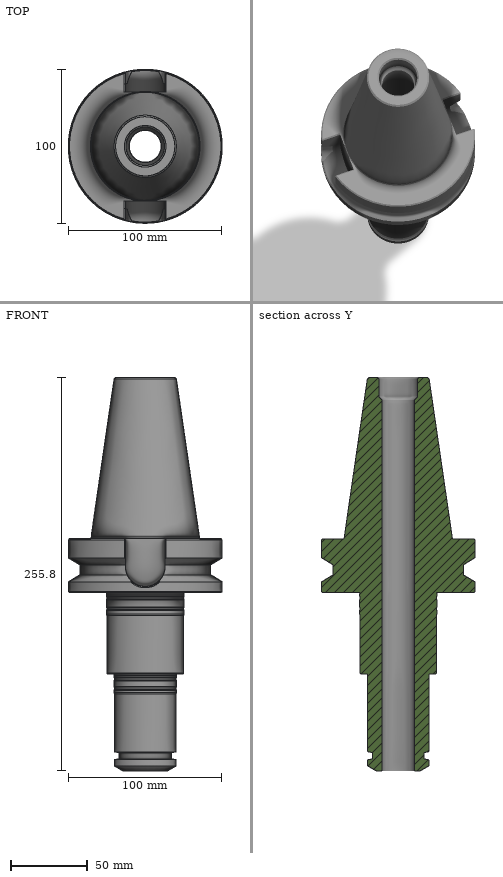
import cadquery as cq
import math

GAUGE_DIAMETER = 69.85
TAPER_RATIO = 7 / 24
TAPER_TOP_Z = 101.8
TAPER_BASE_Z = -1.2
TAPER_FLARE_Z = -2.0
TAPER_FLARE_DIAMETER = 71.2
TAPER_TOP_CHAMFER = 1.0

FLANGE_DIAMETER = 100.0
FLANGE_TOP_Z = -3.0
FLANGE_BOTTOM_Z = -38.0
FLANGE_EDGE_CHAMFER = 0.8
GROOVE_CENTRE_Z = -23.2
GROOVE_FLOOR_DIAMETER = 85.0
GROOVE_MOUTH_WIDTH = 15.6
GROOVE_SIDE_ANGLE = 31.5

SLOT_WIDTH = 25.7
SLOT_FLAT_Y = 35.4
SLOT_BOTTOM_Z = -34.0
SLOT_EDGE_CHAMFER = 0.8

LARGE_DIAMETER = 50.0
LARGE_BAND_DIAMETER = 50.5
LARGE_BAND_END_Z = -52.7
LARGE_BAND_GROOVES_Z = (-41.5, -48.5)
LARGE_END_Z = -91.0
LARGE_END_CHAMFER = 0.8
SMALL_DIAMETER = 40.0
SMALL_BAND_DIAMETER = 40.5
SMALL_BAND_END_Z = -103.7
SMALL_BAND_GROOVES_Z = (-94.1, -100.3)
BAND_GROOVE_FLOOR_WIDTH = 1.0
BAND_RAMP_LENGTH = 0.75

NECK_DIAMETER = 34.0
NECK_TOP_Z = -142.0
NECK_BOTTOM_Z = -145.9
NECK_SIDE_HEIGHT = 0.6
BOTTOM_Z = -154.0
BOTTOM_DIAMETER = 28.2
BOTTOM_CONE_ANGLE = 30.0
BOTTOM_EDGE_RADIUS = 0.8

BORE_DIAMETER = 20.75
COUNTERBORE_DIAMETER = 25.0
COUNTERBORE_DEPTH = 12.7
MOUTH_DIAMETER = 27.0

SELECT_MARGIN = 0.1


def taper_diameter(z):
    return GAUGE_DIAMETER - TAPER_RATIO * z


def revolve(points):
    """Revolve an outline of (diameter, z) points about the Z axis."""
    outline = [(diameter / 2, z) for diameter, z in points]
    return cq.Workplane("XZ").polyline(outline).close().revolve(360, (0, 0), (0, 1))


def make_taper():
    base_diameter = taper_diameter(TAPER_BASE_Z)
    shoulder_z = TAPER_TOP_Z - TAPER_TOP_CHAMFER
    return revolve([
        (0, FLANGE_TOP_Z),
        (TAPER_FLARE_DIAMETER, FLANGE_TOP_Z),
        (base_diameter, TAPER_FLARE_Z),
        (base_diameter, TAPER_BASE_Z),
        (taper_diameter(shoulder_z), shoulder_z),
        (taper_diameter(shoulder_z) - 2 * TAPER_TOP_CHAMFER, TAPER_TOP_Z),
        (0, TAPER_TOP_Z),
    ])


def make_flange():
    rim_diameter = FLANGE_DIAMETER - 2 * FLANGE_EDGE_CHAMFER
    mouth = GROOVE_MOUTH_WIDTH / 2
    depth = (FLANGE_DIAMETER - GROOVE_FLOOR_DIAMETER) / 2
    floor = mouth - depth * math.tan(math.radians(GROOVE_SIDE_ANGLE))
    return revolve([
        (0, FLANGE_TOP_Z),
        (rim_diameter, FLANGE_TOP_Z),
        (FLANGE_DIAMETER, FLANGE_TOP_Z - FLANGE_EDGE_CHAMFER),
        (FLANGE_DIAMETER, GROOVE_CENTRE_Z + mouth),
        (GROOVE_FLOOR_DIAMETER, GROOVE_CENTRE_Z + floor),
        (GROOVE_FLOOR_DIAMETER, GROOVE_CENTRE_Z - floor),
        (FLANGE_DIAMETER, GROOVE_CENTRE_Z - mouth),
        (FLANGE_DIAMETER, FLANGE_BOTTOM_Z + FLANGE_EDGE_CHAMFER),
        (rim_diameter, FLANGE_BOTTOM_Z),
        (0, FLANGE_BOTTOM_Z),
    ])


def band_outline(diameter, band_diameter, start_z, grooves_z, end_z):
    """Outline of a wider band whose ends and grooves ramp down to the shank diameter."""
    half_floor = BAND_GROOVE_FLOOR_WIDTH / 2
    half_mouth = half_floor + BAND_RAMP_LENGTH
    points = [(diameter, start_z), (band_diameter, start_z - BAND_RAMP_LENGTH)]
    for groove_z in grooves_z:
        points += [
            (band_diameter, groove_z + half_mouth),
            (diameter, groove_z + half_floor),
            (diameter, groove_z - half_floor),
            (band_diameter, groove_z - half_mouth),
        ]
    return points + [(band_diameter, end_z + BAND_RAMP_LENGTH), (diameter, end_z)]


def make_shank():
    large_band = band_outline(
        LARGE_DIAMETER, LARGE_BAND_DIAMETER, FLANGE_BOTTOM_Z, LARGE_BAND_GROOVES_Z, LARGE_BAND_END_Z
    )
    small_band = band_outline(
        SMALL_DIAMETER, SMALL_BAND_DIAMETER, LARGE_END_Z, SMALL_BAND_GROOVES_Z, SMALL_BAND_END_Z
    )
    cone_depth = (SMALL_DIAMETER - BOTTOM_DIAMETER) / 2
    cone_z = BOTTOM_Z + cone_depth * math.tan(math.radians(BOTTOM_CONE_ANGLE))
    shank = revolve([
        (0, FLANGE_BOTTOM_Z),
        *large_band,
        (LARGE_DIAMETER, LARGE_END_Z + LARGE_END_CHAMFER),
        (LARGE_DIAMETER - 2 * LARGE_END_CHAMFER, LARGE_END_Z),
        *small_band,
        (SMALL_DIAMETER, NECK_TOP_Z + NECK_SIDE_HEIGHT),
        (NECK_DIAMETER, NECK_TOP_Z),
        (NECK_DIAMETER, NECK_BOTTOM_Z),
        (SMALL_DIAMETER, NECK_BOTTOM_Z - NECK_SIDE_HEIGHT),
        (SMALL_DIAMETER, cone_z),
        (BOTTOM_DIAMETER, BOTTOM_Z),
        (0, BOTTOM_Z),
    ])
    cone_edge = cq.selectors.BoxSelector(
        (-SELECT_MARGIN, -SELECT_MARGIN, cone_z - SELECT_MARGIN),
        (SELECT_MARGIN, SELECT_MARGIN, cone_z + SELECT_MARGIN),
    )
    return shank.edges(cone_edge).fillet(BOTTOM_EDGE_RADIUS)


def make_bore():
    mouth_z = TAPER_TOP_Z - (MOUTH_DIAMETER - COUNTERBORE_DIAMETER) / 2
    seat_z = TAPER_TOP_Z - COUNTERBORE_DEPTH
    return revolve([
        (0, TAPER_TOP_Z),
        (MOUTH_DIAMETER, TAPER_TOP_Z),
        (COUNTERBORE_DIAMETER, mouth_z),
        (COUNTERBORE_DIAMETER, seat_z),
        (BORE_DIAMETER, seat_z - (COUNTERBORE_DIAMETER - BORE_DIAMETER) / 2),
        (BORE_DIAMETER, BOTTOM_Z),
        (0, BOTTOM_Z),
    ])


def make_slot():
    """Cutter for the -Y drive slot: straight sides, round bottom and a chamfered top mouth."""
    radius = SLOT_WIDTH / 2
    centre_z = SLOT_BOTTOM_Z + radius
    mouth_half_width = radius + SLOT_EDGE_CHAMFER
    mouth_z = FLANGE_TOP_Z - SLOT_EDGE_CHAMFER
    return (
        cq.Workplane("XZ", origin=(0, -SLOT_FLAT_Y, 0))
        .moveTo(-mouth_half_width, FLANGE_TOP_Z)
        .lineTo(-radius, mouth_z)
        .lineTo(-radius, centre_z)
        .threePointArc((0, SLOT_BOTTOM_Z), (radius, centre_z))
        .lineTo(radius, mouth_z)
        .lineTo(mouth_half_width, FLANGE_TOP_Z)
        .close()
        .extrude(FLANGE_DIAMETER / 2)
    )


def slot_rim_edges(side):
    """Selector for the slot edges on the flange rim, with side -1 for -Y and 1 for +Y."""
    wall_x = SLOT_WIDTH / 2
    wall_end_y = math.sqrt((FLANGE_DIAMETER / 2) ** 2 - wall_x ** 2)
    half_width = wall_x + SELECT_MARGIN
    inner_y = side * (wall_end_y - SELECT_MARGIN)
    outer_y = side * FLANGE_DIAMETER / 2
    bottom_z = FLANGE_BOTTOM_Z + FLANGE_EDGE_CHAMFER
    top_z = FLANGE_TOP_Z - FLANGE_EDGE_CHAMFER
    return cq.selectors.BoxSelector((-half_width, inner_y, bottom_z), (half_width, outer_y, top_z))


result = make_taper().union(make_flange()).union(make_shank()).cut(make_bore())
for angle in (0, 180):
    result = result.cut(make_slot().rotate((0, 0, 0), (0, 0, 1), angle))
for side in (-1, 1):
    result = result.edges(slot_rim_edges(side)).chamfer(SLOT_EDGE_CHAMFER)